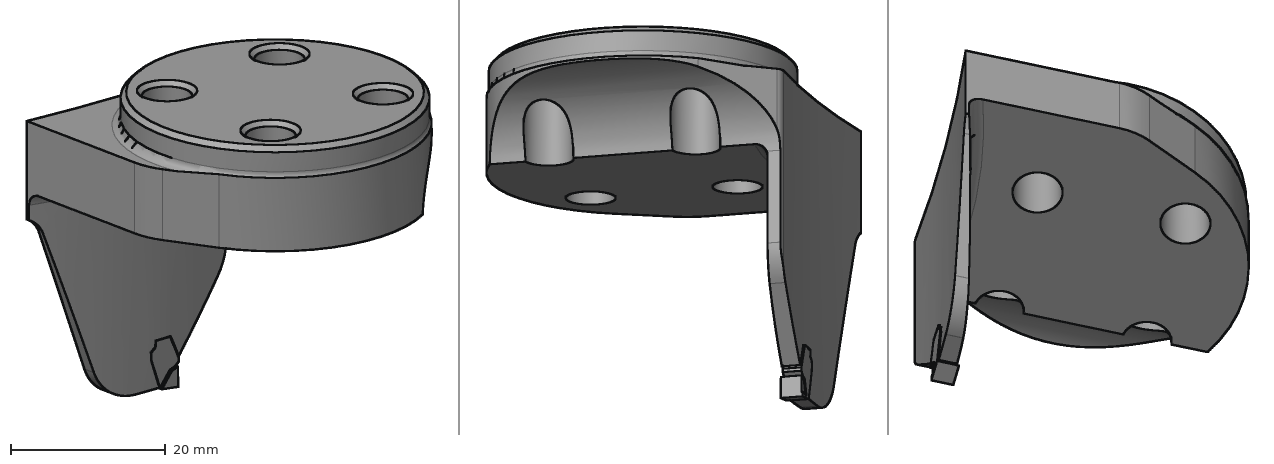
import cadquery as cq
import math


disc_radius = 20.0
disc_chamfer = 0.75
disc_edge_z = -3.45
flare_radius = 1.1
plate_top_z = disc_edge_z - flare_radius

hole_diameter = 6.5
countersink_diameter = 7.8
hole_offset = 9.9

plate_radius = 20.3
plate_bottom_z = -14.35
front_y = -22.65
front_corner_x = -22.85
front_bend_x = 0.0
front_bend_radius = 9.65
back_corner_x = -21.45
back_corner_radius = 1.4
back_edge_angle = 36.6
outer_face_crown = (-21.25, 0.9)

inner_face_radius = 70.4
inner_face_crown_x = -18.75
inner_face_crown_y = -0.3
blade_root_radius = 1.75

blade_bottom_z = -45.4
blade_back_y = 9.45
scoop_radius = plate_radius - blade_back_y
back_slope_top_z = -30.55
back_slope_radius = 7.95
back_slope_end = (0.0, -42.3)
toe_y = -11.85
toe_radius = 6.65
heel_start = (-20.85, -20.05)
heel_middle = (-21.55, -19.0)
heel_end_z = -18.15

insert_outer_x = -21.5
insert_inner_x = -18.95
head_inner_x = -18.55
insert_tip = (0.1, -46.0)
insert_heel = (-2.85, -45.6)
head_corner = (0.0, -43.15)
insert_seat = [
    (0.55, -42.7), (0.55, -42.25), (-1.05, -38.8), (-3.6, -38.8),
    (-3.65, -39.65), (-4.35, -40.2), (-4.35, -41.2),
]
rake_step = 0.15
rake_inner = [(-1.05, -43.45), (-1.8, -45.35)]
rake_bottom_z = -45.45

beyond = 55.2


def side_prism(outline, start_x, end_x):
    """Prism along X of an outline given in Y and Z."""
    return cq.Workplane("YZ", origin=(start_x, 0, 0)).polyline(outline).close().extrude(end_x - start_x)


def make_plate_prism():
    """Plate outline extruded from the disc edge down to the bottom of the blade."""
    bend_distance = math.hypot(front_bend_x, front_y)
    tangent_angle = math.atan2(front_y, front_bend_x) + math.acos(plate_radius / bend_distance)
    front_tangent = (plate_radius * math.cos(tangent_angle), plate_radius * math.sin(tangent_angle))

    slope = math.radians(back_edge_angle)
    back_tangent = (-plate_radius * math.sin(slope), plate_radius * math.cos(slope))
    back_corner_y = back_tangent[1] + (back_corner_x - back_tangent[0]) * math.tan(slope)

    prism = (
        cq.Workplane("XY", origin=(0, 0, blade_bottom_z))
        .moveTo(front_corner_x, front_y)
        .lineTo(front_bend_x, front_y)
        .lineTo(*front_tangent)
        .threePointArc((plate_radius * math.cos(slope), plate_radius * math.sin(slope)), back_tangent)
        .lineTo(back_corner_x, back_corner_y)
        .threePointArc(outer_face_crown, (front_corner_x, front_y))
        .close()
        .extrude(disc_edge_z - blade_bottom_z)
    )
    at_bend = cq.selectors.NearestToPointSelector((front_bend_x, front_y, plate_bottom_z))
    at_back_corner = cq.selectors.NearestToPointSelector((back_corner_x, back_corner_y, plate_bottom_z))
    prism = prism.edges("|Z").edges(at_bend).fillet(front_bend_radius)
    return prism.edges("|Z").edges(at_back_corner).fillet(back_corner_radius)


def make_plate_top():
    """Everything below the disc edge, the flat plate top and the concave round between them."""
    foot_radius = disc_radius + flare_radius
    middle = flare_radius * math.sqrt(0.5)
    return (
        cq.Workplane("XZ")
        .moveTo(0, disc_edge_z)
        .lineTo(disc_radius, disc_edge_z)
        .threePointArc((foot_radius - middle, disc_edge_z - middle), (foot_radius, plate_top_z))
        .lineTo(beyond, plate_top_z)
        .lineTo(beyond, blade_bottom_z)
        .lineTo(0, blade_bottom_z)
        .close()
        .revolve(360, (0, 0, 0), (0, 1, 0))
    )


def make_disc():
    disc = cq.Workplane("XY", origin=(0, 0, disc_edge_z)).circle(disc_radius).extrude(-disc_edge_z)
    return disc.faces(">Z").chamfer(disc_chamfer)


def make_side_profile():
    """Side shape of plate and blade, extruded through the whole part along X."""
    scoop_center_z = plate_top_z - scoop_radius
    scoop_middle = scoop_radius * math.sqrt(0.5)
    profile = (
        cq.Workplane("YZ", origin=(-beyond / 2, 0, 0))
        .moveTo(front_y, disc_edge_z)
        .lineTo(plate_radius, disc_edge_z)
        .lineTo(plate_radius, plate_top_z)
        .threePointArc(
            (plate_radius - scoop_middle, scoop_center_z + scoop_middle), (blade_back_y, scoop_center_z)
        )
        .lineTo(blade_back_y, back_slope_top_z)
        .lineTo(*back_slope_end)
        .lineTo(back_slope_end[0], blade_bottom_z)
        .lineTo(toe_y, blade_bottom_z)
        .lineTo(*heel_start)
        .threePointArc(heel_middle, (front_y, heel_end_z))
        .close()
        .extrude(beyond)
    )
    at_slope = cq.selectors.NearestToPointSelector((0, blade_back_y, back_slope_top_z))
    at_toe = cq.selectors.NearestToPointSelector((0, toe_y, blade_bottom_z))
    profile = profile.edges("|X").edges(at_slope).fillet(back_slope_radius)
    return profile.edges("|X").edges(at_toe).fillet(toe_radius)


def make_space_under_plate():
    """Space below the plate and inside the blade, rounded where the blade meets the plate."""
    half_width = beyond / 2

    def inner_face_x(y):
        drop = inner_face_radius - math.sqrt(inner_face_radius**2 - (y - inner_face_crown_y) ** 2)
        return inner_face_crown_x - drop

    space = (
        cq.Workplane("XY", origin=(0, 0, plate_bottom_z))
        .moveTo(half_width, -half_width)
        .lineTo(inner_face_x(-half_width), -half_width)
        .threePointArc((inner_face_crown_x, inner_face_crown_y), (inner_face_x(half_width), half_width))
        .lineTo(half_width, half_width)
        .close()
        .extrude(-beyond)
    )
    return space.faces(">Z").edges("<X").fillet(blade_root_radius)


def make_holes():
    centers = [(x, y) for x in (-hole_offset, hole_offset) for y in (-hole_offset, hole_offset)]
    countersink_depth = (countersink_diameter - hole_diameter) / 2
    bores = cq.Workplane("XY").pushPoints(centers).circle(hole_diameter / 2).extrude(plate_bottom_z)
    countersink = cq.Solid.makeCone(
        countersink_diameter / 2, hole_diameter / 2, countersink_depth, dir=cq.Vector(0, 0, -1)
    )
    for x, y in centers:
        bores = bores.union(cq.Workplane(countersink.moved(cq.Location(cq.Vector(x, y, 0)))))
    return bores


def make_insert_block(inner_x):
    """Insert outline across the blade, before the rake face is stepped back."""
    outline = [head_corner, *insert_seat, insert_heel, insert_tip]
    return side_prism(outline, insert_outer_x, inner_x)


def make_holder():
    seat = make_insert_block(head_inner_x)
    plate_and_blade = make_plate_prism().intersect(make_plate_top()).intersect(make_side_profile())
    plate_and_blade = plate_and_blade.cut(make_space_under_plate())
    return plate_and_blade.union(make_disc()).cut(make_holes()).cut(seat)


def make_insert():
    head = side_prism([head_corner, rake_inner[0], insert_heel, insert_tip], insert_outer_x, head_inner_x)
    rake_outline = [(beyond, head_corner[1]), head_corner, *rake_inner, (beyond, rake_bottom_z)]
    rake = side_prism(rake_outline, insert_outer_x, insert_outer_x + rake_step)
    return make_insert_block(insert_inner_x).union(head).cut(rake)


holder = make_holder()
insert = make_insert()

result = cq.Compound.makeCompound([holder.val(), insert.val()])